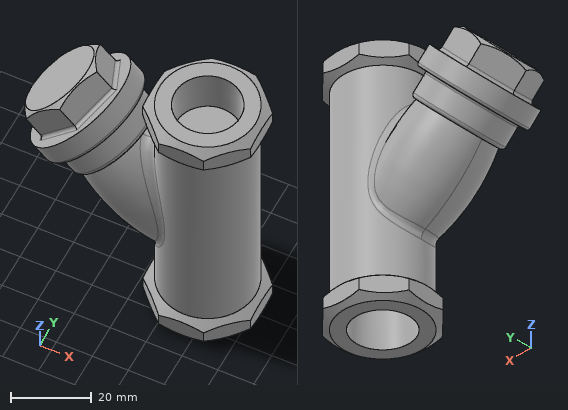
import cadquery as cq
import math

LENGTH = 78
TUBE_DIAMETER = 26.6

NUT_WIDTH = 30.0
NUT_HEIGHT = 7.65
NUT_FACE_DIAMETER = 26.6
NUT_CHAMFER_ANGLE = 35

BORE_DIAMETER = 18.1
BORE_FLOOR_DIAMETER = 17.5
BORE_DEPTH = 12.0

BRANCH_ANGLE = 45
BRANCH_ORIGIN_Z = -15.0
BODY_FOOT = 4.7
BODY_FOOT_RADIUS = 9.05
BODY_MIDDLE = 22.2
BODY_MIDDLE_RADIUS = 12.95
BODY_NECK_RADIUS = 12.0
SLEEVE_START = 36.5
SLEEVE_DIAMETER = 26.8
SLEEVE_ROUND = 1.1
FLANGE_DIAMETER = 32.5
FLANGE_START = 43.9
FLANGE_END = 50.1
FLANGE_ROUND = 0.8
FLANGE_FILLET = 0.6
JUNCTION_FILLET = 2.7

HEX_WIDTH = 22.9
HEX_HEIGHT = 8.1
HEX_FACE_DIAMETER = 22.15
HEX_CHAMFER_ANGLE = 32
HEX_BASE_FILLET = 0.9


def polygon_prism(sides, width, height):
    """Prism on the XY plane, given its width across flats."""
    corner_diameter = width / math.cos(math.pi / sides)
    return cq.Workplane("XY").polygon(sides, corner_diameter).extrude(height)


def chamfer_cone(face_diameter, angle, height):
    """Cone narrowing upwards to face_diameter at the given height."""
    face_radius = face_diameter / 2
    base_radius = face_radius + height / math.tan(math.radians(angle))
    outline = [(0, 0), (base_radius, 0), (face_radius, height), (0, height)]
    return cq.Workplane("XZ").polyline(outline).close().revolve(360, (0, 0), (0, 1))


def end_nut():
    """Upper nut, with both of its faces chamfered."""
    octagon = polygon_prism(8, NUT_WIDTH, NUT_HEIGHT).rotate((0, 0, 0), (0, 0, 1), 180 / 8)
    cone = chamfer_cone(NUT_FACE_DIAMETER, NUT_CHAMFER_ANGLE, NUT_HEIGHT)
    lower_cone = cone.mirror("XY").translate((0, 0, NUT_HEIGHT))
    nut = octagon.intersect(cone).intersect(lower_cone)
    return nut.translate((0, 0, LENGTH / 2 - NUT_HEIGHT))


def end_bore():
    """Upper blind bore."""
    return (
        cq.Workplane("XY", origin=(0, 0, LENGTH / 2))
        .circle(BORE_DIAMETER / 2)
        .workplane(offset=-BORE_DEPTH)
        .circle(BORE_FLOOR_DIAMETER / 2)
        .loft(ruled=True)
    )


def place_on_branch(shape):
    """Tip a shape built along Z onto the branch axis."""
    tipped = shape.rotate((0, 0, 0), (0, 1, 0), -BRANCH_ANGLE)
    return tipped.translate((0, 0, BRANCH_ORIGIN_Z))


def bulged_body():
    """Branch body bounded by one arc; its foot lies inside the tube."""
    foot = (BODY_FOOT_RADIUS, BODY_FOOT)
    middle = (BODY_MIDDLE_RADIUS, BODY_MIDDLE)
    neck = (BODY_NECK_RADIUS, SLEEVE_START)
    return (
        cq.Workplane("XZ")
        .moveTo(0, BODY_FOOT)
        .lineTo(*foot)
        .threePointArc(middle, neck)
        .lineTo(0, SLEEVE_START)
        .close()
        .revolve(360, (0, 0), (0, 1))
    )


def sleeve_and_flange():
    sleeve_radius = SLEEVE_DIAMETER / 2
    flange_radius = FLANGE_DIAMETER / 2
    return (
        cq.Workplane("XZ")
        .moveTo(0, SLEEVE_START)
        .lineTo(sleeve_radius - SLEEVE_ROUND, SLEEVE_START)
        .radiusArc((sleeve_radius, SLEEVE_START + SLEEVE_ROUND), -SLEEVE_ROUND)
        .lineTo(sleeve_radius, FLANGE_START - FLANGE_FILLET)
        .radiusArc((sleeve_radius + FLANGE_FILLET, FLANGE_START), FLANGE_FILLET)
        .lineTo(flange_radius - FLANGE_ROUND, FLANGE_START)
        .radiusArc((flange_radius, FLANGE_START + FLANGE_ROUND), -FLANGE_ROUND)
        .lineTo(flange_radius, FLANGE_END)
        .lineTo(0, FLANGE_END)
        .close()
        .revolve(360, (0, 0), (0, 1))
    )


def hex_head():
    head = polygon_prism(6, HEX_WIDTH, HEX_HEIGHT)
    head = head.intersect(chamfer_cone(HEX_FACE_DIAMETER, HEX_CHAMFER_ANGLE, HEX_HEIGHT))
    return head.translate((0, 0, FLANGE_END))


def cap():
    """Sleeve, flange and hex head, with a fillet around the foot of the head."""
    joined = sleeve_and_flange().union(hex_head())
    margin = 0.1
    flange_face = cq.selectors.BoxSelector(
        (-FLANGE_DIAMETER, -FLANGE_DIAMETER, FLANGE_END - margin),
        (FLANGE_DIAMETER, FLANGE_DIAMETER, FLANGE_END + margin),
    )
    return joined.edges(flange_face).edges("%LINE").fillet(HEX_BASE_FILLET)


tube = cq.Workplane("XY").circle(TUBE_DIAMETER / 2).extrude(LENGTH / 2, both=True)
body = bulged_body().rotate((0, 0, 0), (0, 0, 1), 180)
junction = tube.union(place_on_branch(body))
junction = junction.edges("%BSPLINE").fillet(JUNCTION_FILLET)
result = junction.union(place_on_branch(cap()))

nut = end_nut()
bore = end_bore()
result = result.union(nut).union(nut.mirror("XY"))
result = result.cut(bore).cut(bore.mirror("XY"))